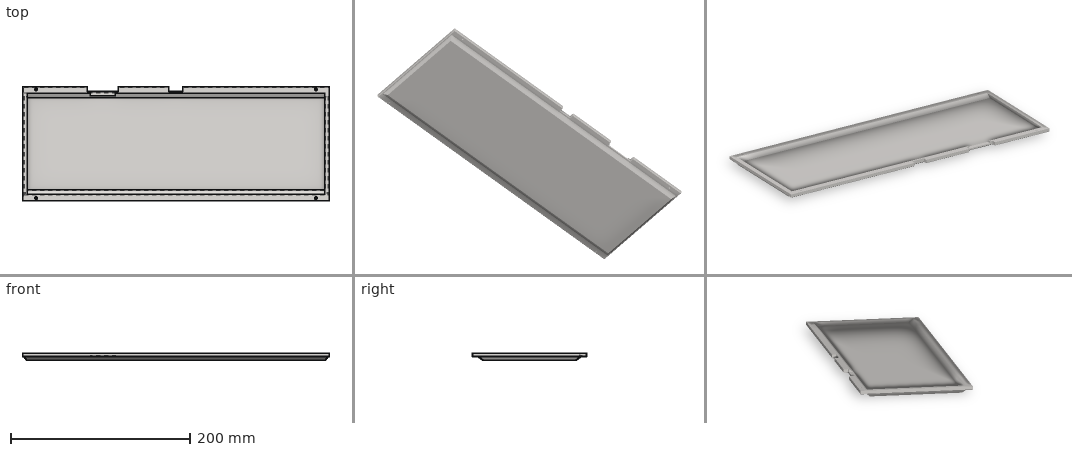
import cadquery as cq

length = 342.0
width = 127.2
height = 8.0

rim_thickness = 4.0
rim_chamfer = 0.5

tray_height = height - rim_thickness
tray_end_inset = 1.7
tray_side_inset = 7.0
tray_end_run = 2.85
tray_side_run = 4.8

pocket_end_wall = 5.5
pocket_side_wall = 7.2
pocket_slope_run = 5.0
pocket_depth = 4.0

notch_depth = 5.0
wide_notch_start = 72.0
wide_notch_length = 34.2
narrow_notch_start = 163.0
narrow_notch_length = 15.5

gap_length = 28.0
gap_depth = 2.5

hole_diameter = 2.2
hole_end_inset = 15.0
hole_side_inset = 3.0


def make_rim():
    """Flat plate with chamfered lower edges."""
    plate = cq.Workplane("XY").workplane(offset=tray_height).rect(length, width).extrude(rim_thickness)
    return plate.faces("<Z").chamfer(rim_chamfer)


def make_tray():
    """Solid tray whose ends and long sides slope at different angles."""
    top_length = length - 2 * tray_end_inset
    top_width = width - 2 * tray_side_inset
    bottom_length = top_length - 2 * tray_end_run
    bottom_width = top_width - 2 * tray_side_run
    return (
        cq.Workplane("XY")
        .rect(bottom_length, bottom_width)
        .workplane(offset=tray_height)
        .rect(top_length, top_width)
        .loft(ruled=True)
    )


def make_pocket():
    """Pocket open at the top, narrowing in Y towards its floor."""
    opening = width / 2 - pocket_side_wall
    floor = opening - pocket_slope_run
    floor_height = height - pocket_depth
    section = [
        (-opening, height),
        (opening, height),
        (floor, floor_height),
        (-floor, floor_height),
    ]
    half_pocket_length = length / 2 - pocket_end_wall
    return cq.Workplane("YZ").polyline(section).close().extrude(half_pocket_length, both=True)


def make_rear_cut(start, cut_length, reach, depth):
    """Box cut from the rear edge inwards and from the top down."""
    return cq.Workplane("XY").box(cut_length, reach, depth, centered=False).translate(
        (start - length / 2, width / 2 - reach, height - depth)
    )


result = make_rim().union(make_tray()).cut(make_pocket())

result = result.cut(make_rear_cut(wide_notch_start, wide_notch_length, notch_depth, height))
result = result.cut(make_rear_cut(narrow_notch_start, narrow_notch_length, notch_depth, height))

gap_start = wide_notch_start + (wide_notch_length - gap_length) / 2
gap_reach = pocket_side_wall + gap_depth * pocket_slope_run / pocket_depth
result = result.cut(make_rear_cut(gap_start, gap_length, gap_reach, gap_depth))

hole_spacing_x = length - 2 * hole_end_inset
hole_spacing_y = width - 2 * hole_side_inset
holes = (
    cq.Workplane("XY")
    .rect(hole_spacing_x, hole_spacing_y, forConstruction=True)
    .vertices()
    .circle(hole_diameter / 2)
    .extrude(height)
)
result = result.cut(holes)